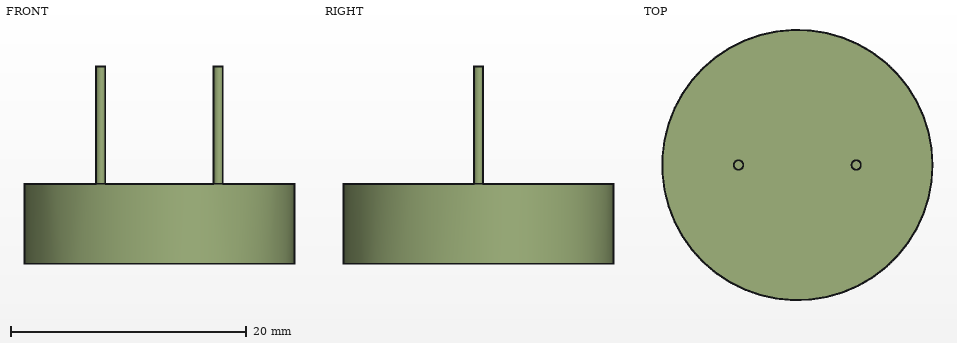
import cadquery as cq

body_diameter = 23.0
body_height = 6.78

pin_diameter = 0.8
pin_length = 10.0
pin_spacing = 10.0

body = cq.Workplane("XY").circle(body_diameter / 2).extrude(body_height)

result = (
    body.faces(">Z")
    .workplane()
    .pushPoints([(-pin_spacing / 2, 0), (pin_spacing / 2, 0)])
    .circle(pin_diameter / 2)
    .extrude(pin_length)
)